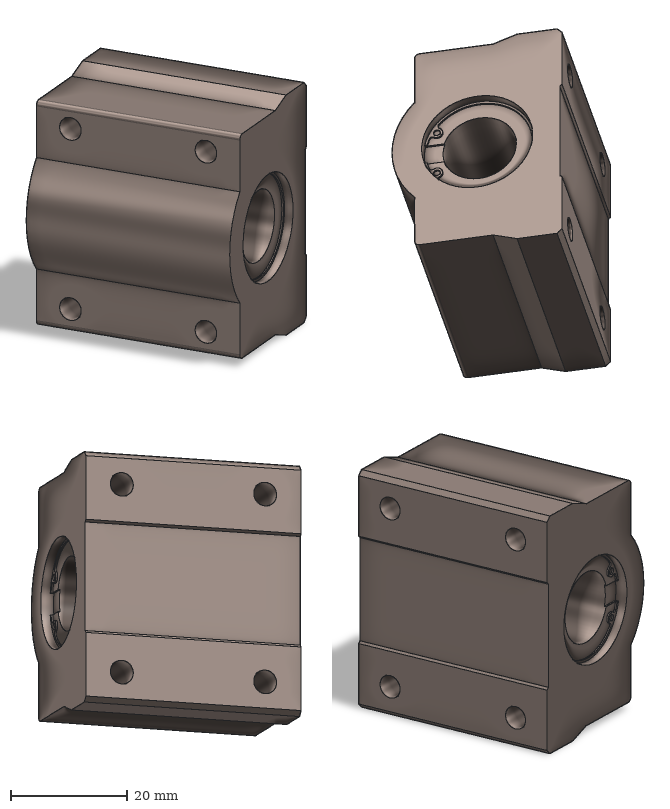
import cadquery as cq
import math

length = 39.0
height = 44.0
barrel_radius = 15.0
back_face = 14.95
front_face = -11.0
waist_half_height = 20.55
taper_back = 7.05
taper_front = 2.8
back_chamfer = 0.9
front_fillet = 0.9
half_height = height / 2

relief_depth = 0.4
relief_half_height = 9.95

mount_diameter = 4.15
mount_x = 13.0
mount_z = 16.5

seat_radius = 19.55 / 2
bore_diameter = 13.0
bearing_slot_width = 3.85
bearing_slot_depth = 0.35
bearing_recess = 1.95

ring_thickness = 0.3
ring_front = bearing_recess - ring_thickness
ring_inner_radius = 9.35
lug_radius = 1.0
lug_hole_diameter = 1.2
lug_y = -7.45
lug_z = 4.3
lug_fillet = 0.55


def block():
    """Extrude the outline symmetric about Z = 0, with its rounded front."""
    floor = back_face - relief_depth
    relief_floor_half = relief_half_height - relief_depth
    barrel_half = math.sqrt(barrel_radius**2 - front_face**2)
    upper = [
        (floor, relief_floor_half),
        (back_face, relief_half_height),
        (back_face, half_height - back_chamfer),
        (back_face - back_chamfer, half_height),
        (taper_back, half_height),
        (taper_front, waist_half_height),
        (front_face, waist_half_height),
        (front_face, barrel_half),
    ]
    lower = [(y, -z) for y, z in reversed(upper)]
    outline = (
        cq.Workplane("YZ", origin=(-length / 2, 0, 0))
        .polyline(upper)
        .threePointArc((-barrel_radius, 0), lower[0])
    )
    for point in lower[1:]:
        outline = outline.lineTo(*point)
    body = outline.close().extrude(length)
    upper_corner = cq.selectors.BoxSelector(
        (-length, front_face - front_fillet, barrel_half + front_fillet),
        (length, front_face + front_fillet, half_height),
    )
    lower_corner = cq.selectors.BoxSelector(
        (-length, front_face - front_fillet, -half_height),
        (length, front_face + front_fillet, -barrel_half - front_fillet),
    )
    return body.edges("|X").edges(upper_corner + lower_corner).fillet(front_fillet)


def mounting_holes():
    return (
        cq.Workplane("XZ")
        .rect(2 * mount_x, 2 * mount_z, forConstruction=True)
        .vertices()
        .circle(mount_diameter / 2)
        .extrude(barrel_radius, both=True)
    )


def end_plane(inset):
    """Plane facing +X, set in from the -X end of the block."""
    return cq.Workplane("YZ", origin=(inset - length / 2, 0, 0))


def ring_opening():
    """Space inside the retaining ring: round, less two lugs blended into the ring."""
    opening = end_plane(ring_front).circle(ring_inner_radius).extrude(ring_thickness)
    lug_pitch_radius = math.hypot(lug_y, lug_z)
    lug_reach = seat_radius - lug_pitch_radius
    lug = (
        end_plane(ring_front)
        .moveTo(-lug_pitch_radius, lug_radius)
        .threePointArc((-lug_pitch_radius + lug_radius, 0), (-lug_pitch_radius, -lug_radius))
        .hLine(-lug_reach)
        .vLine(2 * lug_radius)
        .close()
        .extrude(ring_thickness)
    )
    lug_angle = math.degrees(math.atan2(lug_z, -lug_y))
    for angle in (-lug_angle, lug_angle):
        opening = opening.cut(lug.rotate((0, 0, 0), (1, 0, 0), angle))
    root_zone = cq.selectors.BoxSelector(
        (-length, -seat_radius, -seat_radius),
        (0, lug_y + lug_radius, seat_radius),
    )
    roots = [
        edge
        for edge in opening.edges("|X").edges(root_zone).vals()
        if math.hypot(edge.Center().y, edge.Center().z) > lug_pitch_radius + lug_radius / 2
    ]
    return opening.newObject(roots).fillet(lug_fillet)


def end_cavity():
    """Seat, retaining ring space and bearing slot at the -X end."""
    seat = end_plane(0).circle(seat_radius).extrude(ring_front)
    lug_holes = (
        end_plane(ring_front)
        .pushPoints([(lug_y, -lug_z), (lug_y, lug_z)])
        .circle(lug_hole_diameter / 2)
        .extrude(ring_thickness)
    )
    slot_length = ring_thickness + bearing_slot_depth
    slot = (
        end_plane(ring_front)
        .center(-seat_radius / 2, 0)
        .rect(seat_radius, bearing_slot_width)
        .extrude(slot_length)
        .intersect(end_plane(0).circle(seat_radius).extrude(length))
    )
    return seat.union(ring_opening()).union(lug_holes).union(slot)


bore = end_plane(0).circle(bore_diameter / 2).extrude(length)
near_end = end_cavity()
far_end = near_end.mirror("YZ")

result = block().cut(mounting_holes()).cut(near_end).cut(far_end).cut(bore)